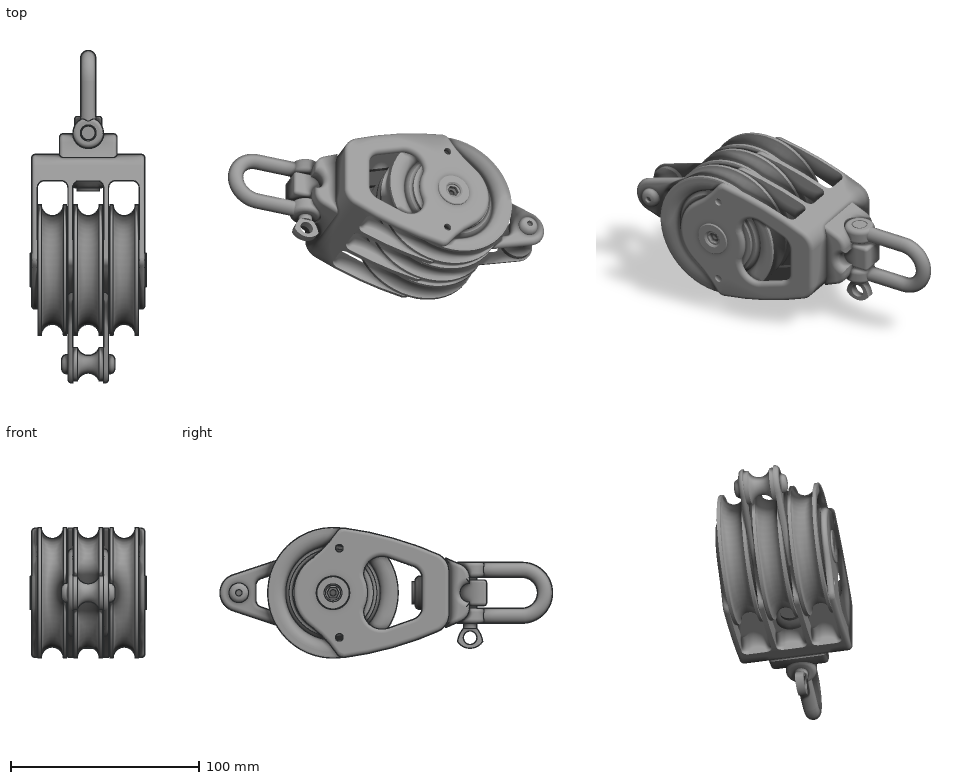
import cadquery as cq
import math


SELECTION_MARGIN = 0.4

OVERALL_WIDTH = 62.0
FRAME_EDGE_ROUND = 2.1
NOSE_Y = -20.9
NOSE_RADIUS = 22.3
NOSE_END_ANGLE = 53.5
FLANK_FRONT_Y = 3.5
FLANK_MIDPOINT = (28.3, 30.0)
FLANK_FRONT_RADIUS = 4.5
CROWN_CORNER_Z = 17.9
CROWN_CORNER_RADIUS = 9.7
CROWN_TOP_Y = 61.5
CROWN_UNDERSIDE_Y = 47.4
SHEAVE_PITCH = 19.1
INNER_PLATE_THICKNESS = 2.7
SIDE_PLATE_THICKNESS = 3.2
POCKET_CORNER_RADIUS = 3.5
WINDOW_EDGE_ROUND = 2.3
WINDOW_CROWN_CORNER = 7.0
WINDOW_CROWN_Z = 12.4
WINDOW_AXLE_Y = 16.3
WINDOW_AXLE_Z = 23.3
WINDOW_BULGE_Y = 18.4
WINDOW_BULGE_Z = 8.8
WINDOW_BULGE_ROUND = 6.2
WINDOW_AXLE_CORNER = 9.7
RIVET_HOLE_DIAMETER = 4.0
RIVET_HOLE_Y = 3.4
RIVET_HOLE_Z = 23.7

SHEAVE_DIAMETER = 69.5
SHEAVE_WIDTH = 15.4
ROPE_GROOVE_RADIUS = 5.8
RIM_INNER_RADIUS = 31.5
DISH_INNER_RADIUS = 25.1
DISH_DEPTH = 3.9
RIM_BEVEL_HEIGHT = 0.9
RIM_BEVEL_DEPTH = 0.2
RACE_OUTER_RADIUS = 23.3
RACE_INNER_DIAMETER = 43.0
RACE_DEPTH = 1.8
HUB_DIAMETER = 32.5
AXLE_CAP_DIAMETER = 17.9
AXLE_CAP_HEIGHT = 0.9
AXLE_CAP_CHAMFER = 0.4
SOCKET_DIAMETER = 8.0
SOCKET_MOUTH_DIAMETER = 9.5
SOCKET_MOUTH_DEPTH = 0.7
SOCKET_DEPTH = 1.5
AXLE_HEX_SIZE = 6.5
AXLE_HEX_DEPTH = 2.1
AXLE_CENTER_HOLE_DIAMETER = 3.4
AXLE_CENTER_HOLE_DEPTH = 1.5

BECKET_PIN_Y = -50.0
TAIL_TIP_RADIUS = 10.0
TAIL_TAPER = 18.4
TAIL_ROOT_Y = -11.8
TAIL_EDGE_ROUND = 2.3
TAIL_HOLE_ROOT_Y = -28.3
TAIL_HOLE_END_Y = -40.8
TAIL_HOLE_MARGIN = 7.0
TAIL_HOLE_CORNER = 3.5
ROLLER_FLANGE_DIAMETER = 17.9
ROLLER_NECK_DIAMETER = 9.5
BECKET_HEAD_DIAMETER = 10.5
BECKET_HEAD_HEIGHT = 3.4
BECKET_HEAD_ROUND = 3.0
BECKET_SOCKET_DIAMETER = 3.4
BECKET_SOCKET_DEPTH = 1.8

HEAD_HALF_WIDTH = 15.4
HEAD_EDGE_ROUND = 2.1
HEAD_BASE_Y = 59.7
HEAD_BASE_HALF_HEIGHT = 18.5
HEAD_TIP_Y = 72.5
HEAD_TIP_Z = 8.3
HEAD_NOSE_MIDPOINT = (71.2, 12.2)
HEAD_SHOULDER = (67.9, 15.0)
HEAD_GROOVE_RADIUS = 5.0
HEAD_GROOVE_FLARE = 3.2
POST_HALF_WIDTH = 7.2
POST_HALF_HEIGHT = 6.9
POST_TOP_Y = 81.7
POST_EDGE_ROUND = 1.6
NUT_DIAMETER = 17.9
NUT_HEIGHT = 3.9
NUT_ROUND = 2.8
NUT_END_DIAMETER = 12.0
NUT_END_HEIGHT = 1.6

SHACKLE_PIN_Y = 72.8
BOW_CENTER_Y = 100.4
BOW_RADIUS = 12.2
BOW_WIRE_DIAMETER = 8.1
EYE_DIAMETER = 16.3
EYE_FLAT_DIAMETER = 12.0
EYE_CLEARANCE = 0.4
LEG_END_OFFSET = 6.4
SHACKLE_PIN_DIAMETER = 7.2
PIN_SEAT_DIAMETER = 8.5
PIN_SEAT_DEPTH = 0.5
PIN_RING_TOP_Z = -19.0
PIN_RING_CENTER_Z = -23.9
PIN_RING_BOTTOM_Z = -29.5
PIN_RING_HALF_WIDTH = 6.7
PIN_RING_WIDEST_Z = -25.8
PIN_RING_SIDE_MIDPOINT = (5.5, -21.7)
PIN_RING_HOLE_DIAMETER = 7.0
PIN_RING_THICKNESS = 4.5

FRAME_HALF_WIDTH = OVERALL_WIDTH / 2 - AXLE_CAP_HEIGHT
SHEAVE_RADIUS = SHEAVE_DIAMETER / 2
RACE_INNER_RADIUS = RACE_INNER_DIAMETER / 2
HUB_RADIUS = HUB_DIAMETER / 2
POCKET_WIDTH = SHEAVE_PITCH - INNER_PLATE_THICKNESS
INNER_PLATE_X = SHEAVE_PITCH / 2
INNER_PLATE_OUTER_X = INNER_PLATE_X + INNER_PLATE_THICKNESS / 2
SIDE_PLATE_INNER_X = FRAME_HALF_WIDTH - SIDE_PLATE_THICKNESS
NOSE_CENTER_Y = NOSE_Y + NOSE_RADIUS
EYE_CLEARANCE_DIAMETER = EYE_DIAMETER + EYE_CLEARANCE
EYE_INNER_Z = BOW_RADIUS - BOW_WIRE_DIAMETER / 2
EYE_OUTER_Z = BOW_RADIUS + BOW_WIRE_DIAMETER / 2


def nose_point(angle):
    """Point on the rounded nose of the plates, at an angle in degrees from its tip."""
    turn = math.radians(angle)
    return (NOSE_CENTER_Y - NOSE_RADIUS * math.cos(turn), NOSE_RADIUS * math.sin(turn))


NOSE_MIDPOINT = nose_point(NOSE_END_ANGLE / 2)
NOSE_END = nose_point(NOSE_END_ANGLE)


def x_cylinder(diameter, x_start, x_end, y=0.0, z=0.0):
    return (
        cq.Workplane("YZ", origin=(x_start, 0, 0)).center(y, z)
        .circle(diameter / 2).extrude(x_end - x_start)
    )


def z_cylinder(diameter, z_start, z_end, y):
    return cq.Workplane("XY", origin=(0, y, z_start)).circle(diameter / 2).extrude(z_end - z_start)


def y_cylinder(diameter, y_start, y_end):
    return cq.Workplane("XZ", origin=(0, y_end, 0)).circle(diameter / 2).extrude(y_end - y_start)


def frame_blank():
    """Pear-shaped outline of the plates, across the full frame width."""
    upper_half = (
        cq.Workplane("YZ", origin=(-FRAME_HALF_WIDTH, 0, 0))
        .moveTo(CROWN_TOP_Y, 0)
        .lineTo(NOSE_Y, 0)
        .threePointArc(NOSE_MIDPOINT, NOSE_END)
        .tangentArcPoint((FLANK_FRONT_Y, SHEAVE_RADIUS), relative=False)
        .threePointArc(FLANK_MIDPOINT, (CROWN_TOP_Y, CROWN_CORNER_Z))
        .close()
        .extrude(2 * FRAME_HALF_WIDTH)
    )
    blank = upper_half.union(upper_half.mirror("XY")).clean()
    blank = blank.edges("|X and >Y").fillet(CROWN_CORNER_RADIUS)
    blank = blank.edges("|X").edges(">Z or <Z").fillet(FLANK_FRONT_RADIUS)
    return blank.faces("<X or >X").edges().fillet(FRAME_EDGE_ROUND)


def sheave_pocket(x_start, x_end):
    """Space for one sheave, open toward -Y, with rounded corners under the crown."""
    length = CROWN_UNDERSIDE_Y + SHEAVE_RADIUS
    return (
        cq.Workplane("XY")
        .box(x_end - x_start, length, SHEAVE_DIAMETER)
        .translate(((x_start + x_end) / 2, CROWN_UNDERSIDE_Y - length / 2, 0))
        .edges(">Y and |Z").fillet(POCKET_CORNER_RADIUS)
    )


def axle_side_edges(half_height):
    """Selects edges on the axle side of the window, up to a height above and below the middle."""
    reach = half_height + SELECTION_MARGIN
    return cq.selectors.BoxSelector(
        (-FRAME_HALF_WIDTH, WINDOW_AXLE_Y - SELECTION_MARGIN, -reach),
        (FRAME_HALF_WIDTH, WINDOW_AXLE_Y + SELECTION_MARGIN, reach),
    )


def plate_window():
    """Kidney-shaped opening between the crown and the axle, through all the plates."""
    window = (
        cq.Workplane("YZ", origin=(-FRAME_HALF_WIDTH, 0, 0))
        .moveTo(CROWN_UNDERSIDE_Y, -WINDOW_CROWN_Z)
        .lineTo(CROWN_UNDERSIDE_Y, WINDOW_CROWN_Z)
        .lineTo(WINDOW_AXLE_Y, WINDOW_AXLE_Z)
        .lineTo(WINDOW_AXLE_Y, WINDOW_BULGE_Z)
        .threePointArc((WINDOW_BULGE_Y, 0), (WINDOW_AXLE_Y, -WINDOW_BULGE_Z))
        .lineTo(WINDOW_AXLE_Y, -WINDOW_AXLE_Z)
        .close()
        .extrude(2 * FRAME_HALF_WIDTH)
    )
    window = window.edges("|X and >Y").fillet(WINDOW_CROWN_CORNER)
    outer_corners = window.edges("|X").edges(axle_side_edges(WINDOW_AXLE_Z)).edges(">Z or <Z")
    window = outer_corners.fillet(WINDOW_AXLE_CORNER)
    return window.edges("|X").edges(axle_side_edges(WINDOW_BULGE_Z)).fillet(WINDOW_BULGE_ROUND)


def make_frame():
    frame = frame_blank().cut(plate_window())
    window_rim = cq.selectors.BoxSelector(
        (-FRAME_HALF_WIDTH - SELECTION_MARGIN, WINDOW_AXLE_Y - SELECTION_MARGIN, -WINDOW_AXLE_Z),
        (FRAME_HALF_WIDTH + SELECTION_MARGIN, CROWN_UNDERSIDE_Y + SELECTION_MARGIN, WINDOW_AXLE_Z),
    )
    frame = frame.faces("<X or >X").edges(window_rim).fillet(WINDOW_EDGE_ROUND)
    frame = frame.cut(sheave_pocket(-POCKET_WIDTH / 2, POCKET_WIDTH / 2))
    frame = frame.cut(sheave_pocket(INNER_PLATE_OUTER_X, SIDE_PLATE_INNER_X))
    frame = frame.cut(sheave_pocket(-SIDE_PLATE_INNER_X, -INNER_PLATE_OUTER_X))
    for z in (-RIVET_HOLE_Z, RIVET_HOLE_Z):
        for x_start in (-FRAME_HALF_WIDTH, SIDE_PLATE_INNER_X):
            hole = x_cylinder(RIVET_HOLE_DIAMETER, x_start, x_start + SIDE_PLATE_THICKNESS, RIVET_HOLE_Y, z)
            frame = frame.cut(hole)
    return frame


def make_sheave(x):
    """Grooved wheel with dished sides, a race recess and a raised hub."""
    face = SHEAVE_WIDTH / 2
    hub_face = POCKET_WIDTH / 2
    dish_face = face - DISH_DEPTH
    race_face = face - RACE_DEPTH
    dish_drop = RIM_INNER_RADIUS - DISH_INNER_RADIUS
    wall_radius = (dish_drop**2 + DISH_DEPTH**2) / (2 * DISH_DEPTH)
    half_sweep = math.asin(dish_drop / wall_radius) / 2
    dish_mid = (
        face - wall_radius * (1 - math.cos(half_sweep)),
        RIM_INNER_RADIUS - wall_radius * math.sin(half_sweep),
    )

    profile = (
        cq.Workplane("XY")
        .moveTo(-hub_face, 0)
        .lineTo(-hub_face, HUB_RADIUS)
        .lineTo(-face, HUB_RADIUS)
        .lineTo(-face, RACE_INNER_RADIUS)
        .lineTo(-race_face, RACE_INNER_RADIUS)
        .lineTo(-race_face, RACE_OUTER_RADIUS)
        .lineTo(-dish_face, DISH_INNER_RADIUS)
        .threePointArc((-dish_mid[0], dish_mid[1]), (-face, RIM_INNER_RADIUS))
        .lineTo(-face, SHEAVE_RADIUS - RIM_BEVEL_HEIGHT)
        .lineTo(-face + RIM_BEVEL_DEPTH, SHEAVE_RADIUS)
        .lineTo(-ROPE_GROOVE_RADIUS, SHEAVE_RADIUS)
        .threePointArc((0, SHEAVE_RADIUS - ROPE_GROOVE_RADIUS), (ROPE_GROOVE_RADIUS, SHEAVE_RADIUS))
        .lineTo(face - RIM_BEVEL_DEPTH, SHEAVE_RADIUS)
        .lineTo(face, SHEAVE_RADIUS - RIM_BEVEL_HEIGHT)
        .lineTo(face, RIM_INNER_RADIUS)
        .threePointArc(dish_mid, (dish_face, DISH_INNER_RADIUS))
        .lineTo(race_face, RACE_OUTER_RADIUS)
        .lineTo(race_face, RACE_INNER_RADIUS)
        .lineTo(face, RACE_INNER_RADIUS)
        .lineTo(face, HUB_RADIUS)
        .lineTo(hub_face, HUB_RADIUS)
        .lineTo(hub_face, 0)
        .close()
    )
    return profile.revolve(360, (0, 0, 0), (1, 0, 0)).translate((x, 0, 0))


def make_axle():
    """Axle with a low round cap and a stepped socket at each end."""
    end = FRAME_HALF_WIDTH + AXLE_CAP_HEIGHT
    return x_cylinder(AXLE_CAP_DIAMETER, -end, end).faces("<X or >X").edges().chamfer(AXLE_CAP_CHAMFER)


def axle_socket():
    """Tool for the socket in the +X end of the axle."""
    end = FRAME_HALF_WIDTH + AXLE_CAP_HEIGHT
    bore = x_cylinder(SOCKET_DIAMETER, end - SOCKET_DEPTH, end)
    mouth = (
        cq.Workplane("YZ", origin=(end, 0, 0)).circle(SOCKET_MOUTH_DIAMETER / 2)
        .workplane(offset=-SOCKET_MOUTH_DEPTH).circle(SOCKET_DIAMETER / 2).loft()
    )
    hexagon = (
        cq.Workplane("YZ", origin=(end - SOCKET_DEPTH, 0, 0))
        .polygon(6, AXLE_HEX_SIZE).extrude(-AXLE_HEX_DEPTH)
    )
    hole_start = end - SOCKET_DEPTH - AXLE_HEX_DEPTH - AXLE_CENTER_HOLE_DEPTH
    center_hole = x_cylinder(AXLE_CENTER_HOLE_DIAMETER, hole_start, end)
    return bore.union(mouth).union(hexagon).union(center_hole)


def make_tail(side):
    """Tapered tail of one inner plate; side is +1 or -1 along X."""
    sine = math.sin(math.radians(TAIL_TAPER))
    cosine = math.cos(math.radians(TAIL_TAPER))
    slope = sine / cosine
    tangent_y = BECKET_PIN_Y - TAIL_TIP_RADIUS * sine
    tangent_z = TAIL_TIP_RADIUS * cosine

    def edge_z(y):
        return tangent_z + (y - tangent_y) * slope

    inner_x = INNER_PLATE_X - INNER_PLATE_THICKNESS / 2
    plate = (
        cq.Workplane("YZ", origin=(inner_x, 0, 0))
        .moveTo(TAIL_ROOT_Y, -edge_z(TAIL_ROOT_Y))
        .lineTo(TAIL_ROOT_Y, edge_z(TAIL_ROOT_Y))
        .lineTo(tangent_y, tangent_z)
        .threePointArc((BECKET_PIN_Y - TAIL_TIP_RADIUS, 0), (tangent_y, -tangent_z))
        .close()
        .extrude(INNER_PLATE_THICKNESS)
    )
    root_z = edge_z(TAIL_HOLE_ROOT_Y) - TAIL_HOLE_MARGIN
    end_z = edge_z(TAIL_HOLE_END_Y) - TAIL_HOLE_MARGIN
    hole = (
        cq.Workplane("YZ", origin=(inner_x, 0, 0))
        .polyline([
            (TAIL_HOLE_ROOT_Y, -root_z),
            (TAIL_HOLE_ROOT_Y, root_z),
            (TAIL_HOLE_END_Y, end_z),
            (TAIL_HOLE_END_Y, -end_z),
        ])
        .close()
        .extrude(INNER_PLATE_THICKNESS)
        .edges("|X").fillet(TAIL_HOLE_CORNER)
    )
    plate = plate.cut(hole).faces(">X").edges().fillet(TAIL_EDGE_ROUND)
    return plate if side > 0 else plate.mirror("YZ")


def make_roller():
    """Waisted roller between the two tails."""
    half_length = POCKET_WIDTH / 2
    flange_radius = ROLLER_FLANGE_DIAMETER / 2
    return (
        cq.Workplane("XY")
        .moveTo(-half_length, 0)
        .lineTo(-half_length, flange_radius)
        .lineTo(-ROPE_GROOVE_RADIUS, flange_radius)
        .threePointArc((0, ROLLER_NECK_DIAMETER / 2), (ROPE_GROOVE_RADIUS, flange_radius))
        .lineTo(half_length, flange_radius)
        .lineTo(half_length, 0)
        .close()
        .revolve(360, (0, 0, 0), (1, 0, 0))
        .translate((0, BECKET_PIN_Y, 0))
    )


def make_becket_pin():
    """Pin through tails and roller, with a domed head and a small socket at each end."""
    end = INNER_PLATE_OUTER_X + BECKET_HEAD_HEIGHT
    pin = x_cylinder(BECKET_HEAD_DIAMETER, INNER_PLATE_X, end, BECKET_PIN_Y)
    pin = pin.faces(">X").edges().fillet(BECKET_HEAD_ROUND)
    pin = pin.cut(x_cylinder(BECKET_SOCKET_DIAMETER, end - BECKET_SOCKET_DEPTH, end, BECKET_PIN_Y))
    return pin.union(pin.mirror("YZ"))


def head_groove():
    """Round groove along X through the head, flared at both ends."""
    mid_inset = HEAD_GROOVE_FLARE * (1 - math.sqrt(0.5))
    flare_start_x = HEAD_HALF_WIDTH - HEAD_GROOVE_FLARE
    mouth_radius = HEAD_GROOVE_RADIUS + HEAD_GROOVE_FLARE
    mid_x = HEAD_HALF_WIDTH - mid_inset
    mid_radius = HEAD_GROOVE_RADIUS + mid_inset
    return (
        cq.Workplane("XY")
        .moveTo(-HEAD_HALF_WIDTH, 0)
        .lineTo(-HEAD_HALF_WIDTH, mouth_radius)
        .threePointArc((-mid_x, mid_radius), (-flare_start_x, HEAD_GROOVE_RADIUS))
        .lineTo(flare_start_x, HEAD_GROOVE_RADIUS)
        .threePointArc((mid_x, mid_radius), (HEAD_HALF_WIDTH, mouth_radius))
        .lineTo(HEAD_HALF_WIDTH, 0)
        .close()
        .revolve(360, (0, 0, 0), (1, 0, 0))
        .translate((0, HEAD_TIP_Y, 0))
    )


def make_head():
    """Lug across the crown with a rounded nose, a cross groove and room for the shackle eyes."""
    upper_half = (
        cq.Workplane("YZ", origin=(-HEAD_HALF_WIDTH, 0, 0))
        .moveTo(HEAD_BASE_Y, 0)
        .lineTo(HEAD_BASE_Y, HEAD_BASE_HALF_HEIGHT)
        .lineTo(*HEAD_SHOULDER)
        .threePointArc(HEAD_NOSE_MIDPOINT, (HEAD_TIP_Y, HEAD_TIP_Z))
        .lineTo(HEAD_TIP_Y, 0)
        .close()
        .extrude(2 * HEAD_HALF_WIDTH)
    )
    head = upper_half.union(upper_half.mirror("XY")).clean()
    head = head.faces("<X or >X").edges().fillet(HEAD_EDGE_ROUND)
    return head.cut(head_groove())


def make_post():
    """Rounded swivel block that the shackle pin passes through."""
    return (
        cq.Workplane("XY")
        .box(2 * POST_HALF_WIDTH, POST_TOP_Y - HEAD_BASE_Y, 2 * POST_HALF_HEIGHT)
        .translate((0, (POST_TOP_Y + HEAD_BASE_Y) / 2, 0))
        .edges().fillet(POST_EDGE_ROUND)
    )


def make_nut():
    """Rounded swivel nut under the crown."""
    nut = y_cylinder(NUT_DIAMETER, CROWN_UNDERSIDE_Y - NUT_HEIGHT, CROWN_UNDERSIDE_Y)
    nut = nut.faces("<Y").edges().fillet(NUT_ROUND)
    end_y = CROWN_UNDERSIDE_Y - NUT_HEIGHT - NUT_END_HEIGHT
    return nut.union(y_cylinder(NUT_END_DIAMETER, end_y, CROWN_UNDERSIDE_Y))


def eye_clearance():
    """Round pockets in the head that the two shackle eyes sit in."""
    outer_z = HEAD_BASE_HALF_HEIGHT
    upper = z_cylinder(EYE_CLEARANCE_DIAMETER, EYE_INNER_Z, outer_z, SHACKLE_PIN_Y)
    lower = z_cylinder(EYE_CLEARANCE_DIAMETER, -outer_z, -EYE_INNER_Z, SHACKLE_PIN_Y)
    return upper.union(lower)


def make_block():
    block = make_frame()
    for x in (-SHEAVE_PITCH, 0, SHEAVE_PITCH):
        block = block.union(make_sheave(x))
    for side in (-1, 1):
        block = block.union(make_tail(side))
    block = block.union(make_axle())
    block = block.cut(axle_socket()).cut(axle_socket().mirror("YZ"))
    block = block.union(make_roller()).union(make_becket_pin())
    block = block.union(make_head().cut(eye_clearance()))
    block = block.union(make_post()).union(make_nut())
    pin_hole = z_cylinder(SHACKLE_PIN_DIAMETER, -EYE_OUTER_Z, EYE_OUTER_Z, SHACKLE_PIN_Y)
    return block.cut(pin_hole)


def make_bow():
    """U-shaped round bar from one eye to the other."""
    leg_length = BOW_CENTER_Y - SHACKLE_PIN_Y - LEG_END_OFFSET
    upper_leg = (
        cq.Workplane("XZ", origin=(0, BOW_CENTER_Y, BOW_RADIUS))
        .circle(BOW_WIRE_DIAMETER / 2).extrude(leg_length)
    )
    lower_leg = upper_leg.mirror("XY")
    bend = (
        cq.Workplane("XZ", origin=(0, BOW_CENTER_Y, BOW_RADIUS))
        .circle(BOW_WIRE_DIAMETER / 2)
        .revolve(180, (1.8, -BOW_RADIUS, 0), (0, -BOW_RADIUS, 0))
    )
    return upper_leg.union(bend).union(lower_leg)


def make_eye():
    """Upper shackle eye, with rounded rims."""
    eye = z_cylinder(EYE_DIAMETER, EYE_INNER_Z, EYE_OUTER_Z, SHACKLE_PIN_Y)
    return eye.edges().fillet((EYE_DIAMETER - EYE_FLAT_DIAMETER) / 2)


def make_pin_tab():
    """Thumb tab with a lanyard hole below the lower eye."""
    shoulder = SHACKLE_PIN_DIAMETER / 2
    side_y, side_z = PIN_RING_SIDE_MIDPOINT
    tab = (
        cq.Workplane("YZ", origin=(-PIN_RING_THICKNESS / 2, SHACKLE_PIN_Y, 0))
        .moveTo(-shoulder, PIN_RING_TOP_Z)
        .lineTo(shoulder, PIN_RING_TOP_Z)
        .threePointArc((side_y, side_z), (PIN_RING_HALF_WIDTH, PIN_RING_WIDEST_Z))
        .threePointArc((0, PIN_RING_BOTTOM_Z), (-PIN_RING_HALF_WIDTH, PIN_RING_WIDEST_Z))
        .threePointArc((-side_y, side_z), (-shoulder, PIN_RING_TOP_Z))
        .close()
        .extrude(PIN_RING_THICKNESS)
    )
    hole = x_cylinder(
        PIN_RING_HOLE_DIAMETER, -PIN_RING_THICKNESS, PIN_RING_THICKNESS, SHACKLE_PIN_Y, PIN_RING_CENTER_Z
    )
    return tab.cut(hole)


def make_shackle():
    pin_seat = z_cylinder(PIN_SEAT_DIAMETER, EYE_OUTER_Z - PIN_SEAT_DEPTH, EYE_OUTER_Z, SHACKLE_PIN_Y)
    shackle = make_bow().union(make_eye()).union(make_eye().mirror("XY")).cut(pin_seat)
    shackle = shackle.union(z_cylinder(SHACKLE_PIN_DIAMETER, PIN_RING_TOP_Z, EYE_OUTER_Z, SHACKLE_PIN_Y))
    return shackle.union(make_pin_tab())


block = make_block()
shackle = make_shackle()

result = cq.Compound.makeCompound([*block.solids().vals(), *shackle.solids().vals()])